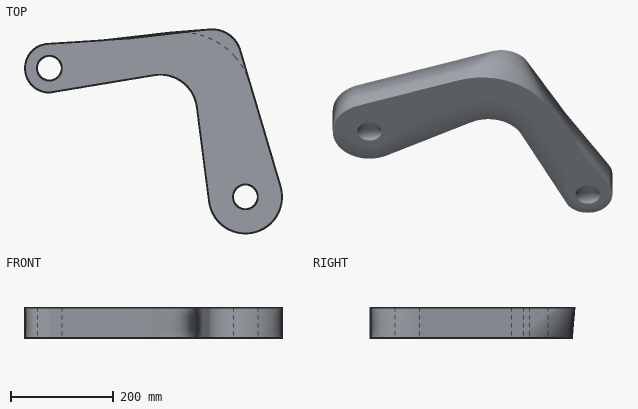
import cadquery as cq
import math

THICKNESS = 59.87
SMALL_EYE_RADIUS = 47.9
LARGE_EYE_RADIUS = 71.85
BORE_RADIUS = 23.95
SMALL_EYE = (0.0, 0.0)
LARGE_EYE = (383.2, -251.5)

BACK_ANGLE = 3.65
FRONT_ANGLE = 9.45
OUTER_ANGLE = -73.5
INNER_ANGLE = -82.65

INNER_RADIUS = 71.85

ELBOW_ANGLE = 6.55
UPPER_BEND_X = 156.0
UPPER_CORNER_RADIUS = 57.5
LOWER_BEND_X = 103.0
LOWER_CORNER_RADIUS = 144.0


def move(point, angle, distance):
    """Point reached from another by going a distance along an angle in degrees."""
    radians = math.radians(angle)
    return (point[0] + distance * math.cos(radians), point[1] + distance * math.sin(radians))


def crossing(point_a, angle_a, point_b, angle_b):
    """Where two lines meet, each given by a point and an angle."""
    dx = point_b[0] - point_a[0]
    dy = point_b[1] - point_a[1]
    direction_b = math.radians(angle_b)
    offset = dx * math.sin(direction_b) - dy * math.cos(direction_b)
    return move(point_a, angle_a, offset / math.sin(math.radians(angle_b - angle_a)))


def corner_arc(point_in, angle_in, point_out, angle_out, radius):
    """Start, middle and end of the right-turning arc that rounds the corner of two lines."""
    corner = crossing(point_in, angle_in, point_out, angle_out)
    tangent_length = radius * math.tan(math.radians(angle_in - angle_out) / 2)
    start = move(corner, angle_in, -tangent_length)
    end = move(corner, angle_out, tangent_length)
    centre = move(start, angle_in - 90, radius)
    middle = move(centre, (angle_in + angle_out) / 2 + 90, radius)
    return start, middle, end


back_start = move(SMALL_EYE, BACK_ANGLE + 90, SMALL_EYE_RADIUS)
front_start = move(SMALL_EYE, -90, SMALL_EYE_RADIUS)
small_eye_far = move(SMALL_EYE, 180, SMALL_EYE_RADIUS)
outer_end = move(LARGE_EYE, OUTER_ANGLE + 90, LARGE_EYE_RADIUS)
inner_end = move(LARGE_EYE, INNER_ANGLE - 90, LARGE_EYE_RADIUS)
large_eye_far = move(LARGE_EYE, -90, LARGE_EYE_RADIUS)
inner_start, inner_middle, inner_stop = corner_arc(
    front_start, FRONT_ANGLE, inner_end, INNER_ANGLE, INNER_RADIUS
)


def outline(plane, bend_x, corner_radius):
    """Lever outline, clockwise from the back of the small eye."""
    back_slope = math.tan(math.radians(BACK_ANGLE))
    bend = (bend_x, back_start[1] + (bend_x - back_start[0]) * back_slope)
    corner_start, corner_middle, corner_end = corner_arc(
        bend, ELBOW_ANGLE, outer_end, OUTER_ANGLE, corner_radius
    )
    return (
        plane.moveTo(*back_start)
        .lineTo(*bend)
        .lineTo(*corner_start)
        .threePointArc(corner_middle, corner_end)
        .lineTo(*outer_end)
        .threePointArc(large_eye_far, inner_end)
        .lineTo(*inner_stop)
        .threePointArc(inner_middle, inner_start)
        .lineTo(*front_start)
        .threePointArc(small_eye_far, back_start)
        .close()
    )


lower_outline = outline(cq.Workplane("XY"), LOWER_BEND_X, LOWER_CORNER_RADIUS)
both_outlines = outline(
    lower_outline.workplane(offset=THICKNESS), UPPER_BEND_X, UPPER_CORNER_RADIUS
)
lever = both_outlines.loft(ruled=True)

bores = cq.Workplane("XY").pushPoints([SMALL_EYE, LARGE_EYE]).circle(BORE_RADIUS).extrude(THICKNESS)
result = lever.cut(bores)